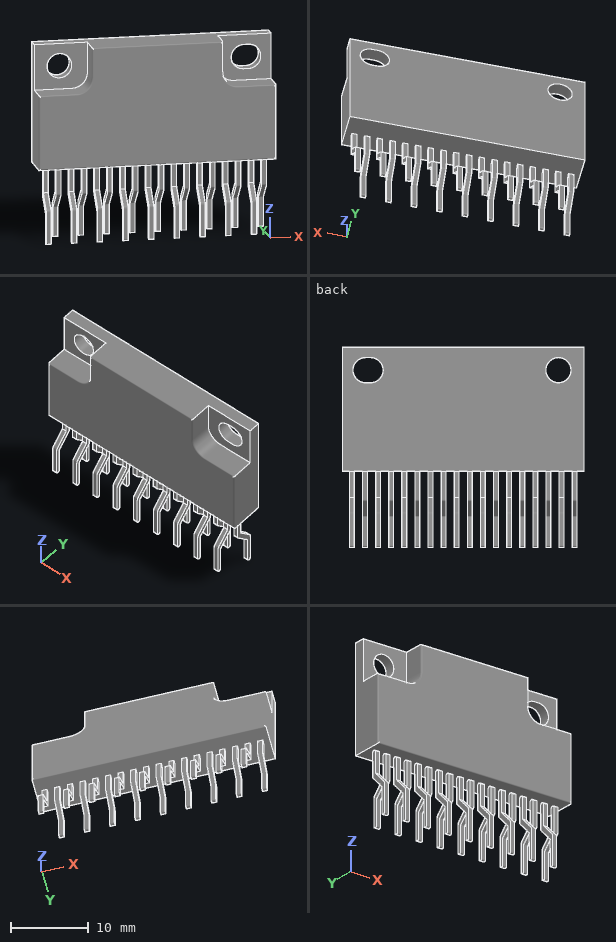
import cadquery as cq
import math

BODY_WIDTH = 31.0
BODY_HEIGHT = 15.93
BODY_DEPTH = 4.9
FLANGE_DEPTH = 1.7
FRONT_EDGE_RADIUS = 0.22

NOTCH_WIDTH = 6.95
NOTCH_HEIGHT = 6.0
NOTCH_RADIUS = 2.0

HOLE_DIAMETER = 3.2
SLOT_LENGTH = 3.85
HOLE_FROM_SIDE = 3.3
HOLE_FROM_TOP = 2.95

LEAD_COUNT = 18
LEAD_SPAN = 28.58
LEAD_WIDTH = 0.65
STEM_THICKNESS = 0.62
SLOPE_THICKNESS = 0.75
LEG_THICKNESS = 0.55
LEAD_LENGTH = 9.75
LEAD_PLANE_Y = -2.82
LEAD_OFFSET = 1.98
STEM_LENGTH = 3.35
UPPER_BEND_RADIUS = 0.3
LOWER_BEND_OUTER_RADIUS = 0.6
LOWER_BEND_INNER_RADIUS = 0.15
STEM_END_RADIUS = 0.28
LEG_END_RADIUS = 0.22


def make_body():
    """Block with its back face on Y = 0 and its bottom on Z = 0."""
    body = cq.Workplane("XY").box(BODY_WIDTH, BODY_DEPTH, BODY_HEIGHT, centered=(True, False, False))
    body = body.translate((0, -BODY_DEPTH, 0))
    for side in (-1, 1):
        cutter = (
            cq.Workplane("XY")
            .box(2 * NOTCH_WIDTH, BODY_DEPTH, 2 * NOTCH_HEIGHT)
            .edges("|Y")
            .fillet(NOTCH_RADIUS)
            .translate((side * BODY_WIDTH / 2, -FLANGE_DEPTH - BODY_DEPTH / 2, BODY_HEIGHT))
        )
        body = body.cut(cutter)
    return body.faces("<Y").edges().fillet(FRONT_EDGE_RADIUS)


def cut_mounting_holes(body):
    """Round hole on the left and a slot, long along X, on the right."""
    hole_x = BODY_WIDTH / 2 - HOLE_FROM_SIDE
    hole_z = BODY_HEIGHT - HOLE_FROM_TOP
    plane = cq.Workplane("XZ")
    hole = plane.center(-hole_x, hole_z).circle(HOLE_DIAMETER / 2).extrude(BODY_DEPTH)
    slot = plane.center(hole_x, hole_z).slot2D(SLOT_LENGTH, HOLE_DIAMETER).extrude(BODY_DEPTH)
    return body.cut(hole).cut(slot)


def make_lead(x, direction):
    """Lead that steps sideways at 45 degrees; direction -1 goes to the front, +1 to the back."""
    stem_inner = STEM_THICKNESS / 2
    stem_outer = -stem_inner
    leg_inner = LEAD_OFFSET - LEG_THICKNESS / 2
    leg_outer = LEAD_OFFSET + LEG_THICKNESS / 2
    slope_height = SLOPE_THICKNESS * math.sqrt(2)

    stem_top_outer = (stem_outer, 0)
    stem_top_inner = (stem_inner, 0)
    upper_inner = (stem_inner, -STEM_LENGTH)
    lower_outer = (leg_outer, -STEM_LENGTH - (leg_outer - stem_inner))
    tip_outer = (leg_outer, -LEAD_LENGTH)
    tip_inner = (leg_inner, -LEAD_LENGTH)
    lower_inner = (leg_inner, -STEM_LENGTH - slope_height - (leg_inner - stem_inner))
    upper_outer = (stem_outer, -STEM_LENGTH - slope_height + STEM_THICKNESS)
    profile = [
        stem_top_outer, stem_top_inner, upper_inner, lower_outer,
        tip_outer, tip_inner, lower_inner, upper_outer,
    ]

    def placed(point):
        return (LEAD_PLANE_Y + direction * point[0], point[1])

    lead = cq.Workplane("YZ").polyline([placed(p) for p in profile]).close()
    lead = lead.extrude(LEAD_WIDTH / 2, both=True)
    rounded_corners = [
        (stem_top_outer, STEM_END_RADIUS),
        (stem_top_inner, STEM_END_RADIUS),
        (upper_outer, UPPER_BEND_RADIUS),
        (lower_outer, LOWER_BEND_OUTER_RADIUS),
        (lower_inner, LOWER_BEND_INNER_RADIUS),
        (tip_outer, LEG_END_RADIUS),
        (tip_inner, LEG_END_RADIUS),
    ]
    for corner, radius in rounded_corners:
        lead = lead.edges(cq.selectors.NearestToPointSelector((0, *placed(corner)))).fillet(radius)
    return lead.translate((x, 0, 0))


result = cut_mounting_holes(make_body())
for index in range(LEAD_COUNT):
    lead_x = -LEAD_SPAN / 2 + index * LEAD_SPAN / (LEAD_COUNT - 1)
    lead_direction = -1 if index % 2 == 0 else 1
    result = result.union(make_lead(lead_x, lead_direction))